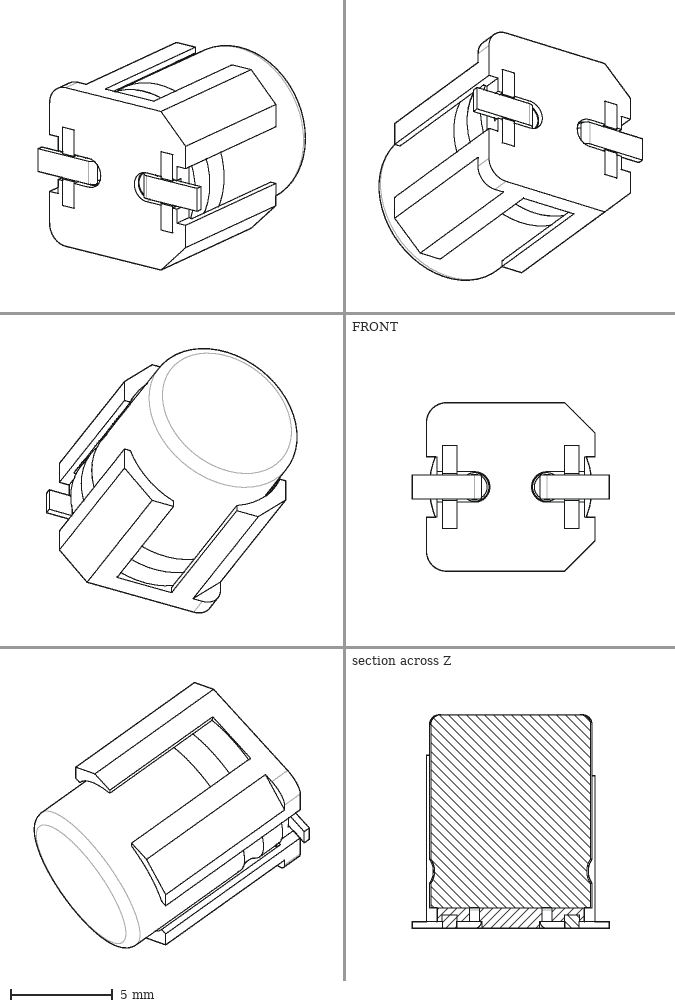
import cadquery as cq
import math


total_length = 10.5
lead_span = 9.7
body_width = 8.3

half_width = body_width / 2
base_thickness = 1.0
base_corner_radius = 1.0
corner_chamfer = 1.5
left_post_top = 8.5
right_post_top = 7.5
window_width = 2.96
notch_floor = 3.62
bore_radius = 4.11

can_radius = 4.0
can_rim_radius = 0.49
groove_center = 2.8
groove_half_width = 0.6
groove_depth = 0.19

lead_width = 1.2
lead_thickness = 0.33
lead_tip = lead_span / 2
lead_inner_end = 1.45
root_center = lead_inner_end + lead_thickness
root_radius = 0.62
root_overlap = 0.05

lead_slot_width = 1.5
lead_hole_radius = 0.7

pad_center = 3.0
pad_width = 0.7
pad_length = 4.1
pad_thickness = 2 * lead_thickness
pad_slot_width = 1.32

sides = (-1, 1)


def box(x_range, y_range, z_range):
    """Box between the given limits along each axis."""
    size = [high - low for low, high in (x_range, y_range, z_range)]
    return cq.Workplane("XY").box(*size, centered=False).translate((x_range[0], y_range[0], z_range[0]))


def centered_span(middle, width):
    """Limits of a span of the given width about its middle."""
    return (middle - width / 2, middle + width / 2)


def side_span(side, inner, outer):
    """Limits along X of a span that starts and ends at these distances from the center plane."""
    return tuple(sorted((side * inner, side * outer)))


def cylinder_along_y(x, radius, start, end):
    """Cylinder parallel to Y, centered at the given X and at Z = 0."""
    circle = cq.Workplane("XZ", origin=(x, start, 0)).circle(radius)
    return circle.extrude(start - end)


def block_along_y(start, end):
    """Square block of the housing width between two Y positions."""
    square = centered_span(0, body_width)
    return box(square, (start, end), square)


def make_base():
    """Base plate: rounded corners on the -X side, chamfered corners on the +X side."""
    plate = block_along_y(0, base_thickness)
    plate = plate.edges("|Y and <X").fillet(base_corner_radius)
    return plate.edges("|Y and >X").chamfer(corner_chamfer)


def make_posts():
    """Four corner posts around the can, taller on the -X side."""
    tower = block_along_y(base_thickness, left_post_top)
    tower = tower.edges("|Y").chamfer(corner_chamfer)
    heights = (base_thickness, left_post_top)
    window = centered_span(0, window_width)
    across = centered_span(0, body_width)
    tower = tower.cut(box((0, half_width), (right_post_top, left_post_top), across))
    tower = tower.cut(cylinder_along_y(0, bore_radius, *heights))
    tower = tower.cut(box(window, heights, across))
    return tower.cut(box(across, heights, window))


def cut_lead_openings(body, side):
    """Side notch, round-ended lead slot and root hole on one side of the base."""
    notch = box(
        side_span(side, notch_floor, half_width),
        (0, base_thickness),
        centered_span(0, window_width),
    )
    slot = box(
        side_span(side, root_center, notch_floor),
        (0, lead_thickness),
        centered_span(0, lead_slot_width),
    )
    slot_end = cylinder_along_y(side * root_center, lead_slot_width / 2, 0, lead_thickness)
    hole = cylinder_along_y(side * root_center, lead_hole_radius, 0, base_thickness)
    return body.cut(notch).cut(slot).cut(slot_end).cut(hole)


def make_pad(side):
    """Anchor pad, flush with the mounting face and slotted where the lead crosses it."""
    across = centered_span(side * pad_center, pad_width)
    bar = box(across, (0, pad_thickness), centered_span(0, pad_length))
    return bar.cut(box(across, (0, lead_thickness), centered_span(0, pad_slot_width)))


def arc_middle(center_x, center_y, radius, angle):
    """Point on a circle at the given angle in degrees."""
    turn = math.radians(angle)
    return (center_x + radius * math.cos(turn), center_y + radius * math.sin(turn))


def make_right_lead():
    """Flat +X lead with a rounded inner end, on a round-topped root that stands on the can."""
    strip = (
        cq.Workplane("XY", origin=(0, 0, -lead_width / 2))
        .moveTo(lead_tip, 0)
        .lineTo(lead_tip, lead_thickness)
        .lineTo(lead_inner_end, lead_thickness)
        .threePointArc(arc_middle(root_center, lead_thickness, lead_thickness, 225), (root_center, 0))
        .close()
        .extrude(lead_width)
    )
    root_top = lead_thickness - root_overlap
    dome_base = root_top + root_radius
    root = (
        cq.Workplane("XY")
        .center(root_center, 0)
        .moveTo(0, root_top)
        .threePointArc(arc_middle(0, dome_base, root_radius, -45), (root_radius, dome_base))
        .lineTo(root_radius, base_thickness)
        .lineTo(0, base_thickness)
        .close()
        .revolve(360, (0, 0), (0, 1))
    )
    return strip.union(root)


def make_lead(side):
    """Lead on the given side; the -X lead mirrors the +X one."""
    lead = make_right_lead()
    return lead if side > 0 else lead.mirror("YZ")


def make_can():
    """Cylindrical can with a rounded far rim and a shallow round groove near the base."""
    can = cylinder_along_y(0, can_radius, base_thickness, total_length)
    can = can.faces(">Y").edges().fillet(can_rim_radius)
    arc_radius = (groove_half_width**2 + groove_depth**2) / (2 * groove_depth)
    arc_center = can_radius - groove_depth + arc_radius
    groove_section = cq.Workplane("XY").center(arc_center, groove_center).circle(arc_radius)
    groove = groove_section.revolve(360, (-arc_center, 0), (-arc_center, 1))
    return can.cut(groove)


can = make_can()
leads = [make_lead(side) for side in sides]
pads = [make_pad(side) for side in sides]

housing = make_base().union(make_posts())
for side in sides:
    housing = cut_lead_openings(housing, side)
for pad in pads:
    housing = housing.cut(pad)

result = cq.Compound.makeCompound(
    [housing.val(), can.val()]
    + [lead.val() for lead in leads]
    + [pad.val() for pad in pads]
)